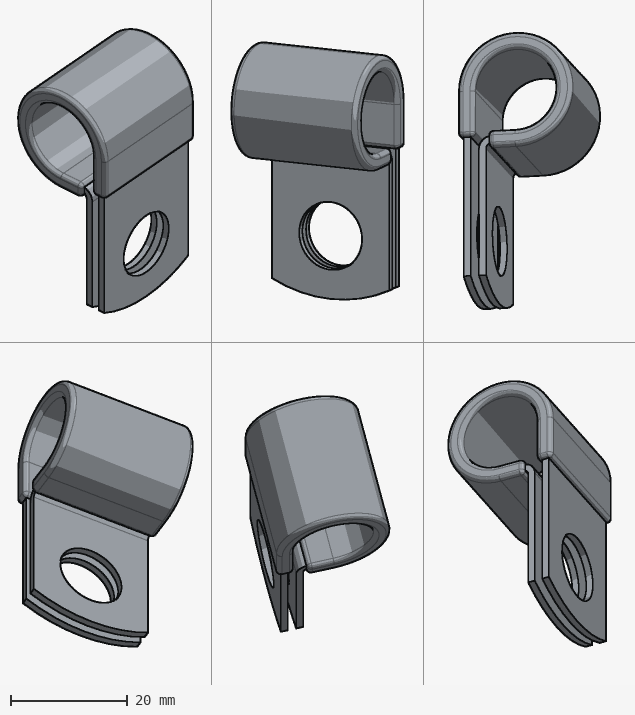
import cadquery as cq
import math

cushion_radius = 9.95
cushion_width = 23.8
edge_round = 0.8

strap_thickness = 1.25
cushion_thickness = strap_thickness + 2 * edge_round
bore_radius = cushion_radius - cushion_thickness
middle_radius = cushion_radius - cushion_thickness / 2
strap_width = cushion_width - 2 * edge_round

upright_end_z = -7.95
flat_end_x = 4.65

total_height = 44.85
leg_bottom_z = cushion_radius - total_height
bent_leg_outer_x = 6.45
bend_outer_radius = 2.25
bend_inner_radius = bend_outer_radius - strap_thickness
end_arc_rise = 2.55

hole_diameter = 11.9
hole_z = -23.8


def centred_extrusion(profile, width):
    """Extrude an XZ profile symmetrically about Y = 0."""
    return profile.extrude(width / 2, both=True)


def make_cushion():
    diagonal = math.sqrt(0.5)
    profile = (
        cq.Workplane("XZ")
        .moveTo(cushion_radius, upright_end_z)
        .lineTo(cushion_radius, 0)
        .threePointArc((-cushion_radius * diagonal, cushion_radius * diagonal), (0, -cushion_radius))
        .lineTo(flat_end_x, -cushion_radius)
        .lineTo(flat_end_x, -bore_radius)
        .lineTo(0, -bore_radius)
        .threePointArc((-bore_radius * diagonal, bore_radius * diagonal), (bore_radius, 0))
        .lineTo(bore_radius, upright_end_z)
        .close()
    )
    band = centred_extrusion(profile, cushion_width)

    side_edges = band.faces("<Y or >Y").edges().vals()
    upright_end_edges = band.faces(cq.NearestToPointSelector((middle_radius, 0, upright_end_z)))
    flat_end_edges = band.faces(cq.NearestToPointSelector((flat_end_x, 0, -middle_radius)))
    end_edges = upright_end_edges.edges("|Y").vals() + flat_end_edges.edges("|Y").vals()
    return band.newObject(side_edges + end_edges).fillet(edge_round)


def make_straight_leg():
    profile = (
        cq.Workplane("XZ")
        .moveTo(middle_radius, leg_bottom_z / 2)
        .rect(strap_thickness, -leg_bottom_z)
    )
    return centred_extrusion(profile, strap_width)


def make_bent_leg():
    top_z = -middle_radius + strap_thickness / 2
    bend_x = bent_leg_outer_x - bend_outer_radius
    bend_z = top_z - bend_outer_radius
    profile = (
        cq.Workplane("XZ")
        .moveTo(0, top_z)
        .lineTo(bend_x, top_z)
        .radiusArc((bent_leg_outer_x, bend_z), bend_outer_radius)
        .lineTo(bent_leg_outer_x, leg_bottom_z)
        .lineTo(bent_leg_outer_x - strap_thickness, leg_bottom_z)
        .lineTo(bent_leg_outer_x - strap_thickness, bend_z)
        .radiusArc((bend_x, top_z - strap_thickness), -bend_inner_radius)
        .lineTo(0, top_z - strap_thickness)
        .close()
    )
    return centred_extrusion(profile, strap_width)


def make_leg_outline():
    """Block along X with a bowed lower end and the bolt hole, used to trim both legs."""
    half_width = strap_width / 2
    corner_z = leg_bottom_z + end_arc_rise
    block = (
        cq.Workplane("YZ")
        .moveTo(-half_width, 0)
        .lineTo(-half_width, corner_z)
        .threePointArc((0, leg_bottom_z), (half_width, corner_z))
        .lineTo(half_width, 0)
        .close()
        .extrude(cushion_radius)
    )
    hole = cq.Workplane("YZ").center(0, hole_z).circle(hole_diameter / 2).extrude(cushion_radius)
    return block.cut(hole)


legs = make_straight_leg().union(make_bent_leg()).intersect(make_leg_outline())
result = make_cushion().union(legs)